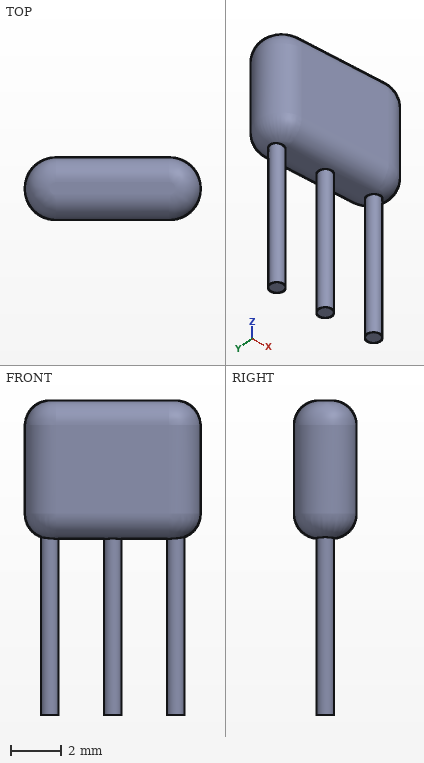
import cadquery as cq

body_length = 7.0
body_thickness = 2.5
body_height = 5.5
edge_radius = 1.0

pin_count = 3
pin_diameter = 0.7
pin_pitch = 2.5
pin_length = 7.0
pin_embed = edge_radius


def make_body():
    """Oblong block standing on Z = 0, with its top and bottom rims rounded."""
    return (
        cq.Workplane("XY")
        .slot2D(body_length, body_thickness)
        .extrude(body_height)
        .faces("<Z or >Z")
        .edges()
        .fillet(edge_radius)
    )


def make_pins():
    """Row of pins along X, hanging below the body."""
    return (
        cq.Workplane("XY", origin=(0, 0, -pin_length))
        .rarray(pin_pitch, 0.12, pin_count, 1)
        .circle(pin_diameter / 2)
        .extrude(pin_length + pin_embed)
    )


result = make_body().union(make_pins())